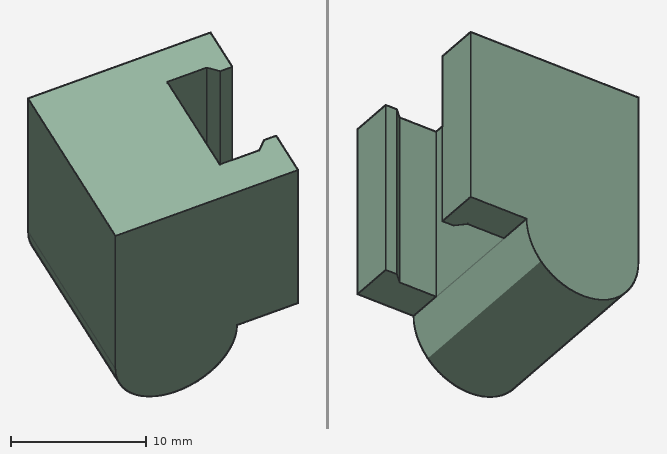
import cadquery as cq

block_side = 15.0
foot_radius = 5.0

slot_depth = 5.0
slot_width = 9.0
mouth_width = 7.5
lip_thickness = 1.0
lip_slope = (slot_width - mouth_width) / 2


def make_body():
    """Side profile, straight block above a half-round foot, extruded along X."""
    foot_width = 2 * foot_radius
    return (
        cq.Workplane("YZ")
        .moveTo(0, foot_radius)
        .lineTo(0, foot_radius + block_side)
        .lineTo(block_side, foot_radius + block_side)
        .lineTo(block_side, foot_radius)
        .lineTo(foot_width, foot_radius)
        .threePointArc((foot_radius, 0), (0, foot_radius))
        .close()
        .extrude(block_side / 2, both=True)
    )


def make_slot():
    """Slot volume with a mouth narrowed by a lip on each side."""
    slot_floor = block_side - slot_depth
    lip_edge = block_side - lip_thickness
    half_profile = [
        (0, slot_floor),
        (slot_width / 2, slot_floor),
        (slot_width / 2, lip_edge - lip_slope),
        (mouth_width / 2, lip_edge),
        (mouth_width / 2, block_side),
        (0, block_side),
    ]
    return (
        cq.Workplane("XY", origin=(0, 0, foot_radius))
        .polyline(half_profile)
        .mirrorY()
        .extrude(block_side)
    )


result = make_body().cut(make_slot())